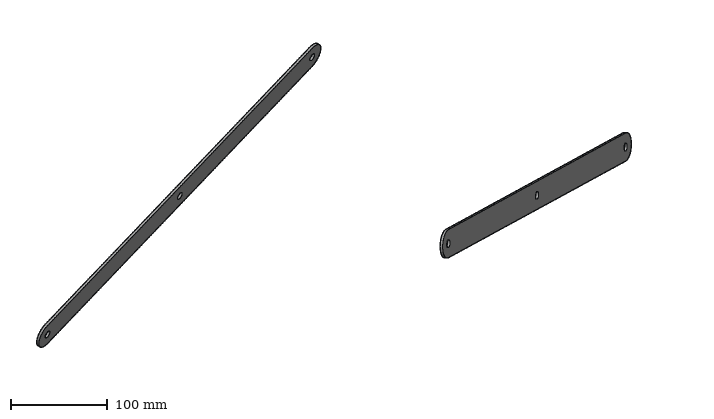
import cadquery as cq

length = 485.0
width = 30.0
thickness = 3.0
hole_diameter = 8.0

end_hole_offset = (length - width) / 2
hole_positions = [(-end_hole_offset, 0), (0, 0), (end_hole_offset, 0)]


def make_bar():
    """Flat bar with full-round ends, centred on the origin."""
    return cq.Workplane("YZ").slot2D(length, width).extrude(thickness / 2, both=True)


def make_hole_cutters():
    """Pins through the whole thickness, one for each hole."""
    return (
        cq.Workplane("YZ")
        .pushPoints(hole_positions)
        .circle(hole_diameter / 2)
        .extrude(thickness, both=True)
    )


result = make_bar().cut(make_hole_cutters())